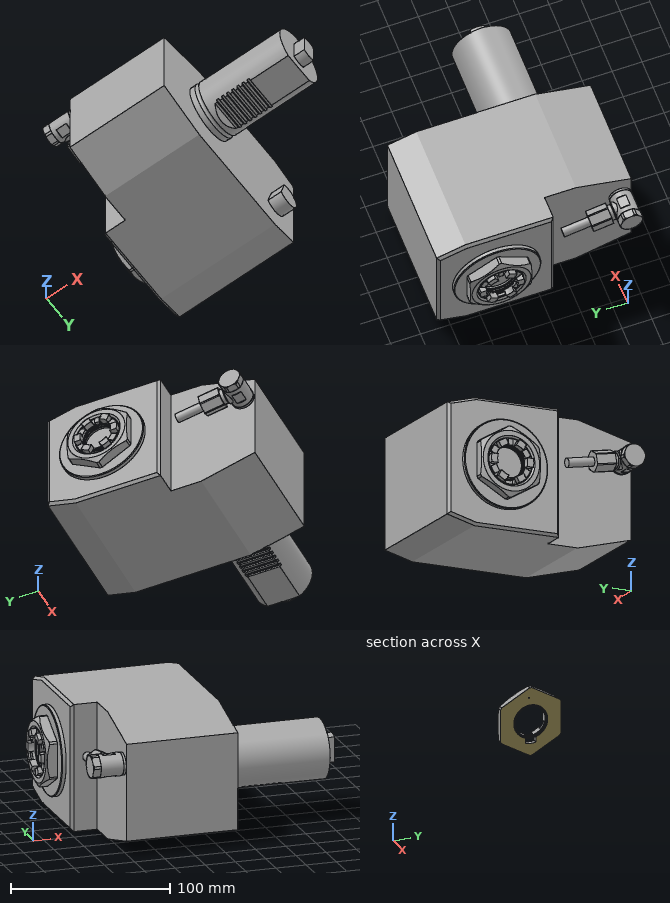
import cadquery as cq
import math


height = 84.0
far_y = 89.0
near_y = -47.0
head_x = -90.8
step_x = -73.6
step_y = 11.0
taper_angle = 15.0
far_taper = 19.4
near_taper = 37.0
head_chamfer = 1.8

shank_dia = 40.0
shank_length = 70.2
ring_groove_x = 5.5
ring_groove_width = 2.9
ring_groove_depth = 0.7
flat_z = -16.6
flat_start = 13.0
tooth_depth = 0.9
tooth_pitch = 4.0
tooth_gap = 2.2
tooth_gap_root = 1.5
tooth_gap_count = 7
first_gap_x = 15.7

tang_dia = 19.2
tang_width = 9.8
tang_length = 8.0

pin_y = 69.3
pin_z = -15.5
pin_dia = 18.0
pin_length = 10.3
pin_flat_offset = 5.8

spindle_y = 50.0
flange_dia = 58.2
flange_thickness = 2.9
flange_edge = 0.5
nut_flats = 41.0
nut_corner_dia = 46.5
nut_face_dia = 39.5
nut_thickness = 7.2
flange_x = head_x - flange_thickness
nut_x = flange_x - nut_thickness
nut_chamfer_angle = 30.0
nut_mouth_dia = 33.0
nut_bore_dia = 30.4
mouth_depth = 1.0
collet_dia = 29.5
collet_bore_dia = 21.0
collet_depth = 7.2
bore_floor_x = nut_x + collet_depth
finger_depth = 0.7
slit_depth = 1.0
finger_width = 5.2
top_finger_width = 3.0
finger_step = 30
top_angle = 90
bottom_angle = 270
tooth_width = 5.8
tooth_step = 60
tooth_height = 1.8
pocket_width = 6.5
pocket_depth = 3.6
pocket_inner_wall = 1.0
bore_groove_dia = 22.5
bore_groove_width = 0.9
bore_groove_depths = (2.9, 5.0)

elbow_y = -39.3
elbow_z = 17.0
elbow_tilt = 10.0
elbow_dia = 15.0
elbow_base_dia = 14.5
elbow_base_length = 1.6
elbow_length = 16.6
cap_length = 5.0
cap_corner_dia = 16.5
cap_round_dia = 15.5
cap_face_dia = 14.5
outlet_offset = 9.4
neck_dia = 10.0
collar_dia = 12.0
collar_end = 8.1
collar_edge = 0.7
nut_start = 10.5
outlet_nut_flats = 12.3
outlet_nut_round_dia = 13.7
outlet_nut_length = 13.5
pipe_dia = 6.0
pipe_end = 42.3
pad_width = 7.8
pad_depth = 0.7


def rod(x_start, x_end, diameter, y=0.0, z=0.0):
    """Cylinder along X."""
    plane = cq.Workplane("YZ", origin=(x_start, y, z))
    return plane.circle(diameter / 2).extrude(x_end - x_start)


def cone(x_start, x_end, start_dia, end_dia, y):
    """Truncated cone along X."""
    base = cq.Vector(x_start, y, 0)
    solid = cq.Solid.makeCone(start_dia / 2, end_dia / 2, x_end - x_start, base, cq.Vector(1, 0, 0))
    return cq.Workplane("XY").newObject([solid])


def hex_rod(x_start, x_end, corner_dia, y, z, turn):
    """Hexagonal bar along X with a corner turned from +Y towards +Z."""
    bar = cq.Workplane("YZ", origin=(x_start, y, z)).polygon(6, corner_dia).extrude(x_end - x_start)
    return bar.rotate((0, y, z), (1, y, z), turn)


def make_housing():
    top = height / 2
    slope = math.tan(math.radians(taper_angle))
    far_z = top - far_taper * slope
    near_z = top - near_taper * slope
    section = [
        (near_y, near_z), (near_y + near_taper, top), (far_y - far_taper, top), (far_y, far_z),
        (far_y, -far_z), (far_y - far_taper, -top), (near_y + near_taper, -top), (near_y, -near_z),
    ]
    body = cq.Workplane("YZ", origin=(head_x, 0, 0)).polyline(section).close().extrude(-head_x)
    step = cq.Workplane("XY").box(
        step_x - head_x, step_y - near_y, height, centered=False
    ).translate((head_x, near_y, -top))
    return body.cut(step).faces("<X").chamfer(head_chamfer)


def make_shank():
    shank = rod(0, shank_length, shank_dia)

    half_width = ring_groove_width / 2
    arc_radius = (half_width**2 + ring_groove_depth**2) / (2 * ring_groove_depth)
    ring_radius = shank_dia / 2 - ring_groove_depth + arc_radius
    groove = cq.Solid.makeTorus(ring_radius, arc_radius, cq.Vector(ring_groove_x, 0, 0), cq.Vector(1, 0, 0))

    floor_z = -shank_dia / 2
    run_out = flat_z - floor_z
    relief = (
        cq.Workplane("XZ")
        .polyline([
            (flat_start - run_out, floor_z), (flat_start, flat_z),
            (shank_length, flat_z), (shank_length, floor_z),
        ])
        .close()
        .extrude(shank_dia / 2, both=True)
    )
    shank = shank.cut(cq.Workplane("XY").newObject([groove])).cut(relief)

    for index in range(tooth_gap_count):
        x = first_gap_x + index * tooth_pitch
        gap = (
            cq.Workplane("XZ")
            .polyline([
                (x - tooth_gap / 2, flat_z), (x - tooth_gap_root / 2, flat_z + tooth_depth),
                (x + tooth_gap_root / 2, flat_z + tooth_depth), (x + tooth_gap / 2, flat_z),
            ])
            .close()
            .extrude(shank_dia / 2, both=True)
        )
        shank = shank.cut(gap)

    tang_slab = cq.Workplane("XY").box(tang_length, tang_width, tang_dia, centered=(False, True, True))
    tang = rod(shank_length, shank_length + tang_length, tang_dia)
    return shank.union(tang.intersect(tang_slab.translate((shank_length, 0, 0))))


def make_pin():
    keeper = cq.Workplane("XY").box(pin_length, pin_dia, pin_dia, centered=(False, False, True))
    keeper = keeper.translate((0, pin_y - pin_flat_offset, pin_z))
    facing = math.degrees(math.atan2(pin_z, pin_y))
    keeper = keeper.rotate((0, pin_y, pin_z), (1, pin_y, pin_z), facing)
    return rod(0, pin_length, pin_dia, pin_y, pin_z).intersect(keeper)


def radial_bar(x_start, x_end, width, angle):
    """Bar from the spindle axis outwards, turned from +Y towards +Z."""
    bar = cq.Workplane("XY").box(x_end - x_start, collet_dia, width, centered=(False, False, True))
    bar = bar.translate((x_start, spindle_y, 0))
    return bar.rotate((0, spindle_y, 0), (1, spindle_y, 0), angle)


def make_spindle():
    flange = rod(flange_x, head_x, flange_dia, spindle_y).faces("<X").chamfer(flange_edge)

    corner_dia = nut_flats / math.cos(math.pi / 6)
    nut = hex_rod(nut_x, flange_x, corner_dia, spindle_y, 0, top_angle)
    rise = (nut_corner_dia - nut_face_dia) / 2
    blank = rod(nut_x, flange_x, nut_corner_dia, spindle_y)
    blank = blank.faces("<X").chamfer(rise * math.tan(math.radians(nut_chamfer_angle)), rise)
    mouth = cone(nut_x, nut_x + mouth_depth, nut_mouth_dia, nut_bore_dia, spindle_y)
    nut = nut.intersect(blank).cut(mouth).cut(rod(nut_x, bore_floor_x, nut_bore_dia, spindle_y))
    return flange.union(nut)


def make_collet():
    """Ring in the nut with low fingers all round except at -Z, and taller driving teeth."""
    tip_x = nut_x - tooth_height
    finger_x = nut_x + finger_depth
    slit_x = finger_x + slit_depth

    collet = rod(slit_x, bore_floor_x, nut_bore_dia, spindle_y)
    bars = radial_bar(finger_x, slit_x, top_finger_width, top_angle)
    for angle in range(0, 360, finger_step):
        if angle not in (top_angle, bottom_angle):
            bars = bars.union(radial_bar(finger_x, slit_x, finger_width, angle))
    for angle in range(0, 360, tooth_step):
        bars = bars.union(radial_bar(tip_x, slit_x, tooth_width, angle))
    collet = collet.union(bars.intersect(rod(tip_x, slit_x, collet_dia, spindle_y)))

    pocket = radial_bar(slit_x, slit_x + pocket_depth, pocket_width, bottom_angle)
    wall_dia = collet_bore_dia + 2 * pocket_inner_wall
    pocket = pocket.intersect(rod(slit_x, bore_floor_x, collet_dia, spindle_y))
    collet = collet.cut(pocket.cut(rod(slit_x, bore_floor_x, wall_dia, spindle_y)))

    collet = collet.cut(rod(tip_x, bore_floor_x, collet_bore_dia, spindle_y))
    for depth in bore_groove_depths:
        groove_x = nut_x + depth
        collet = collet.cut(rod(groove_x, groove_x + bore_groove_width, bore_groove_dia, spindle_y))
    return collet


def make_elbow():
    """Elbow built with its outlet along +Y, then tilted about its X axis."""
    cap_x = step_x - elbow_length
    outlet_x = step_x - outlet_offset

    base = rod(step_x - elbow_base_length, step_x, elbow_base_dia)
    barrel = rod(cap_x, step_x - elbow_base_length, elbow_dia)
    for side in (1, -1):
        pad = cq.Workplane("XY").box(pad_width, elbow_dia, pad_depth)
        barrel = barrel.cut(pad.translate((outlet_x, 0, side * (elbow_dia - pad_depth) / 2)))

    cap_edge = (cap_round_dia - cap_face_dia) / 2
    cap_blank = rod(cap_x - cap_length, cap_x, cap_round_dia).faces("<X").chamfer(cap_edge)
    cap = hex_rod(cap_x - cap_length, cap_x, cap_corner_dia, 0, 0, 0).intersect(cap_blank)

    def outlet(start, end, diameter):
        plane = cq.Workplane("XZ", origin=(outlet_x, start, 0))
        return plane.circle(diameter / 2).extrude(start - end)

    neck = outlet(0, nut_start, neck_dia)
    collar = outlet(0, collar_end, collar_dia).faces(">Y").chamfer(collar_edge)
    corner_dia = outlet_nut_flats / math.cos(math.pi / 6)
    nut_end = nut_start + outlet_nut_length
    nut = cq.Workplane("XZ", origin=(outlet_x, nut_start, 0)).transformed(rotate=(0, 0, 90))
    nut = nut.polygon(6, corner_dia).extrude(-outlet_nut_length)
    nut = nut.intersect(outlet(nut_start, nut_end, outlet_nut_round_dia))
    pipe = outlet(nut_start, pipe_end, pipe_dia)

    elbow = base.union(barrel).union(cap).union(neck).union(collar).union(nut).union(pipe)
    elbow = elbow.rotate((0, 0, 0), (1, 0, 0), -elbow_tilt)
    return elbow.translate((0, elbow_y, elbow_z))


result = (
    make_housing()
    .union(make_shank())
    .union(make_pin())
    .union(make_spindle())
    .union(make_collet())
    .union(make_elbow())
)